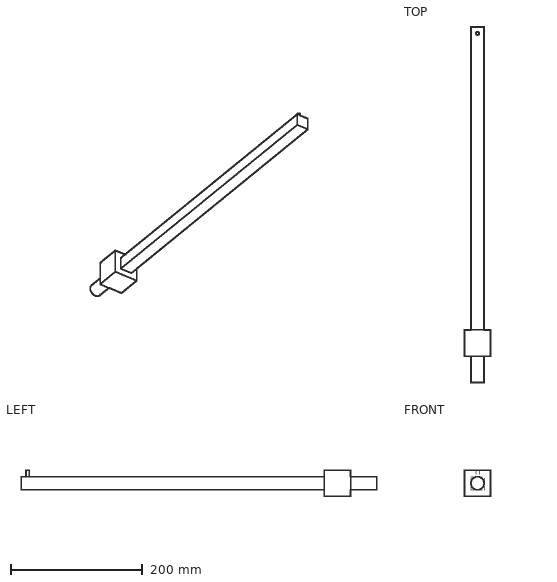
import cadquery as cq

block_size = 40.0

spindle_diameter = 20.0
spindle_length = 40.0

bar_width = 20.0
overall_length = 540.0
bar_length = overall_length - block_size - spindle_length

pin_diameter = 5.0
pin_height = 10.0
pin_end_distance = 10.0

block_half = block_size / 2
bar_top = bar_width / 2
bar_end = block_half + bar_length


def make_block():
    return cq.Workplane("XY").box(block_size, block_size, block_size)


def make_spindle():
    face = cq.Workplane("XZ", origin=(0, -block_half, 0))
    return face.circle(spindle_diameter / 2).extrude(spindle_length)


def make_bar():
    face = cq.Workplane("XZ", origin=(0, block_half, 0))
    return face.rect(bar_width, bar_width).extrude(-bar_length)


def make_pin():
    base = cq.Workplane("XY", origin=(0, bar_end - pin_end_distance, bar_top))
    return base.circle(pin_diameter / 2).extrude(pin_height)


result = make_block().union(make_spindle()).union(make_bar()).union(make_pin())